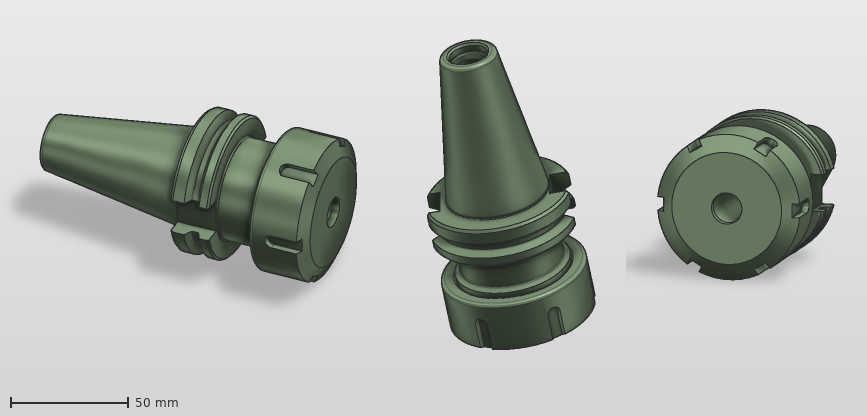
import cadquery as cq
import math


gauge_dia = 44.4
gauge_x = 68.2
taper_per_length = 7 / 24
nose_fillet = 2.0

flange_dia = 63.4
flange_start = 69.3
flange_end = 87.2
flange_root_fillet = 0.4
front_chamfer_length = 1.3
front_chamfer_depth = 0.9
rear_chamfer = 0.9
groove_floor_dia = 55.9
groove_center = 79.3
groove_mouth_width = 7.0
groove_floor_width = 3.0
groove_floor_fillet = 0.33

key_width = 16.1
key_floor_front = 22.5
key_floor_back = 24.9

neck_dia = 45.0
neck_fillet = 0.8
thread_dia = 50.0
shoulder_start = 103.0
shoulder_end = 104.3
shoulder_fillet = 0.5

bore_dia = 13.5
mouth_dia = 16.7
mouth_rim_dia = 18.2
mouth_rim_depth = 1.0
mouth_depth = 3.8
step_dia = 16.3
step_end_dia = 15.0
step_end_depth = 4.7
funnel_end_depth = 6.7

nut_dia = 63.0
nut_start = 106.3
nut_end = 131.8
nut_fillet = 1.6
nut_face_dia = 48.5
nut_bevel_start = 128.5
nut_mouth_dia = 51.8

slot_count = 6
slot_width = 6.0
slot_floor_radius = 28.3
slot_tip_x = 113.8


def revolve_about_x(profile):
    return profile.close().revolve(360, (0, 0, 0), (1, 0, 0))


def cylinder_along_x(diameter, start, end):
    return cq.Workplane("YZ", origin=(start, 0, 0)).circle(diameter / 2).extrude(end - start)


def make_blank():
    """Taper, flange, neck and thread as one turned solid."""
    nose_radius = (gauge_dia - gauge_x * taper_per_length) / 2
    flange_radius = flange_dia / 2
    neck_radius = neck_dia / 2
    thread_radius = thread_dia / 2
    shoulder_angle = math.atan2(thread_radius - neck_radius, shoulder_end - shoulder_start)
    tangent_length = shoulder_fillet * math.tan(shoulder_angle / 2)
    shoulder_fillet_end = (
        shoulder_start + tangent_length * math.cos(shoulder_angle),
        neck_radius + tangent_length * math.sin(shoulder_angle),
    )
    profile = (
        cq.Workplane("XY")
        .moveTo(0, 0)
        .lineTo(0, nose_radius)
        .lineTo(gauge_x, gauge_dia / 2)
        .lineTo(flange_start - flange_root_fillet, gauge_dia / 2)
        .radiusArc((flange_start, gauge_dia / 2 + flange_root_fillet), -flange_root_fillet)
        .lineTo(flange_start, flange_radius - front_chamfer_depth)
        .lineTo(flange_start + front_chamfer_length, flange_radius)
        .lineTo(flange_end - rear_chamfer, flange_radius)
        .lineTo(flange_end, flange_radius - rear_chamfer)
        .lineTo(flange_end, neck_radius + neck_fillet)
        .radiusArc((flange_end + neck_fillet, neck_radius), -neck_fillet)
        .lineTo(shoulder_start - tangent_length, neck_radius)
        .radiusArc(shoulder_fillet_end, -shoulder_fillet)
        .lineTo(shoulder_end, thread_radius)
        .lineTo(nut_bevel_start, thread_radius)
        .lineTo(nut_bevel_start, 0)
    )
    return revolve_about_x(profile).faces("<X").edges().fillet(nose_fillet)


def make_groove():
    profile = (
        cq.Workplane("XY")
        .moveTo(groove_center - groove_mouth_width / 2, flange_dia / 2)
        .lineTo(groove_center - groove_floor_width / 2, groove_floor_dia / 2)
        .lineTo(groove_center + groove_floor_width / 2, groove_floor_dia / 2)
        .lineTo(groove_center + groove_mouth_width / 2, flange_dia / 2)
    )
    floor_edges = cq.selectors.RadiusNthSelector(0)
    return revolve_about_x(profile).edges(floor_edges).fillet(groove_floor_fillet)


def make_keyway(floor_distance, side):
    """Rectangular cut across the flange; side is -1 or +1 along Y."""
    length = flange_end - flange_start
    return cq.Workplane("XY").box(length, flange_dia, key_width).translate(
        (flange_start + length / 2, side * (floor_distance + flange_dia / 2), 0)
    )


def make_mouth():
    """Chamfered rim, short bore and a funnel that narrows to the through bore."""
    profile = (
        cq.Workplane("XY")
        .moveTo(0, 0)
        .lineTo(0, mouth_rim_dia / 2)
        .lineTo(mouth_rim_depth, mouth_dia / 2)
        .lineTo(mouth_depth, mouth_dia / 2)
        .lineTo(mouth_depth, step_dia / 2)
        .lineTo(step_end_depth, step_end_dia / 2)
        .lineTo(funnel_end_depth, bore_dia / 2)
        .lineTo(funnel_end_depth, 0)
    )
    return revolve_about_x(profile)


def make_holder():
    return (
        make_blank()
        .cut(make_groove())
        .cut(make_keyway(key_floor_front, -1))
        .cut(make_keyway(key_floor_back, 1))
        .cut(cylinder_along_x(bore_dia, 0, nut_end))
        .cut(make_mouth())
    )


def make_slot(angle):
    """Round-ended wrench slot, open at the bevelled end of the nut."""
    half_width = slot_width / 2
    tip_center = slot_tip_x + half_width
    outline = (
        cq.Workplane("XY", origin=(0, 0, slot_floor_radius))
        .moveTo(tip_center, half_width)
        .threePointArc((slot_tip_x, 0), (tip_center, -half_width))
        .lineTo(nut_end, -half_width)
        .lineTo(nut_end, half_width)
        .close()
    )
    return outline.extrude(nut_dia / 2).rotate((0, 0, 0), (1, 0, 0), angle)


def make_nut():
    """Cap nut with a countersunk thread bore that holds the end of the holder."""
    countersink_depth = (nut_mouth_dia - thread_dia) / 2
    profile = (
        cq.Workplane("XY")
        .moveTo(nut_start, nut_mouth_dia / 2)
        .lineTo(nut_start, nut_dia / 2 - nut_fillet)
        .radiusArc((nut_start + nut_fillet, nut_dia / 2), nut_fillet)
        .lineTo(nut_bevel_start, nut_dia / 2)
        .lineTo(nut_end, nut_face_dia / 2)
        .lineTo(nut_end, bore_dia / 2)
        .lineTo(nut_bevel_start, bore_dia / 2)
        .lineTo(nut_bevel_start, thread_dia / 2)
        .lineTo(nut_start + countersink_depth, thread_dia / 2)
    )
    nut = revolve_about_x(profile)
    for index in range(slot_count):
        nut = nut.cut(make_slot(90 + index * 360 / slot_count))
    return nut


holder = make_holder()
nut = make_nut()

result = cq.Compound.makeCompound([holder.val(), nut.val()])